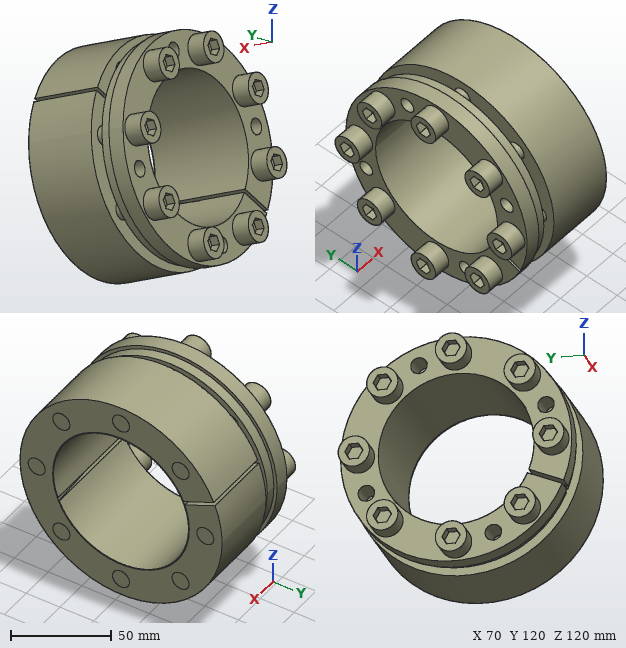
import cadquery as cq
import math


head_length = 10.1
flange_length = 9.0
step_length = 6.0
gap_length = 4.9
ring_length = 40.0

step_start = flange_length
taper_start = step_start + step_length
ring_start = taper_start + gap_length
ring_end = ring_start + ring_length

ring_radius = 60.0
flange_radius = 59.5
step_radius = 57.5
bore_radius = 40.0
taper_mouth_radius = 43.9
taper_end_wall = 0.5

taper_end_radius = bore_radius + taper_end_wall
taper_slope = (taper_mouth_radius - taper_end_radius) / ring_length
taper_start_radius = taper_mouth_radius + taper_slope * gap_length

slit_width = 1.9
ring_slit_angle = 22.5
sleeve_slit_angle = ring_slit_angle + 180

pitch_radius = 50.0
screw_count = 8
screw_radius = 5.0
head_radius = 8.0
hex_across_corners = 9.2
hex_depth = 5.0
jack_count = 4
jack_radius = 4.2
jack_first_angle = 67.5


def rod(x_start, x_end, radius):
    """Cylinder on the main axis."""
    return cq.Workplane("YZ", origin=(x_start, 0, 0)).circle(radius).extrude(x_end - x_start)


def around_axis(body, angle):
    """Turn a body about the X axis; an angle of 0 is +Y and 90 is +Z."""
    return body.rotate((0, 0, 0), (1, 0, 0), angle)


def on_pitch_circle(body, count, first_angle=0):
    """Equally spaced copies of an axial body, all kept in the same rotation about their own axis."""
    copies = []
    for index in range(count):
        angle = math.radians(first_angle + index * 360 / count)
        offset = (0, pitch_radius * math.cos(angle), pitch_radius * math.sin(angle))
        copies.append(body.translate(offset))
    return copies


def taper_plug():
    """Solid cone between the flange step and the far end of the bush."""
    profile = [
        (taper_start, 0),
        (taper_start, taper_start_radius),
        (ring_end, taper_end_radius),
        (ring_end, 0),
    ]
    return cq.Workplane("XY").polyline(profile).close().revolve(360, (0, 0, 0), (1, 0, 0))


def slit(angle):
    """Radial cutter for a slit through one side of a ring, over the full length."""
    blade = cq.Workplane("XY").box(ring_end, ring_radius, slit_width, centered=(False, False, True))
    return around_axis(blade, angle)


def make_sleeve():
    """Flanged taper sleeve with a bore, a slit, screw holes and jacking holes."""
    sleeve = rod(0, step_start, flange_radius)
    sleeve = sleeve.union(rod(step_start, taper_start, step_radius))
    sleeve = sleeve.union(taper_plug())
    sleeve = sleeve.cut(rod(0, ring_end, bore_radius))
    for hole in on_pitch_circle(rod(0, taper_start, screw_radius), screw_count):
        sleeve = sleeve.cut(hole)
    for hole in on_pitch_circle(rod(0, taper_start, jack_radius), jack_count, jack_first_angle):
        sleeve = sleeve.cut(hole)
    return sleeve.cut(slit(sleeve_slit_angle))


def make_outer_ring():
    """Outer ring with a tapered bore, a slit and the holes that take the screws."""
    ring = rod(ring_start, ring_end, ring_radius)
    ring = ring.cut(taper_plug())
    for hole in on_pitch_circle(rod(ring_start, ring_end, screw_radius), screw_count):
        ring = ring.cut(hole)
    return ring.cut(slit(ring_slit_angle))


def make_screw():
    """Socket-head screw on the main axis, its shank ending flush with the outer ring."""
    screw = rod(-head_length, 0, head_radius)
    screw = screw.union(rod(0, ring_end, screw_radius))
    socket = (
        cq.Workplane("YZ", origin=(-head_length, 0, 0))
        .polygon(6, hex_across_corners)
        .extrude(hex_depth)
    )
    return screw.cut(socket)


sleeve = make_sleeve()
outer_ring = make_outer_ring()
screws = on_pitch_circle(make_screw(), screw_count)

result = cq.Compound.makeCompound(
    [sleeve.val(), outer_ring.val(), *[screw.val() for screw in screws]]
)